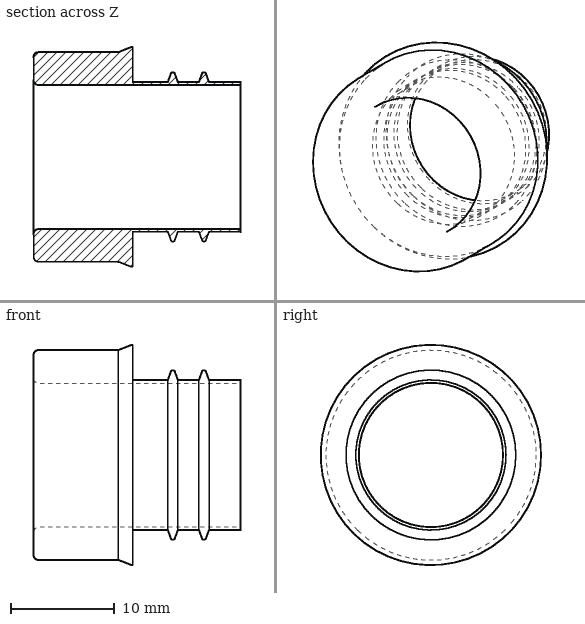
import cadquery as cq
import math

total_length = 20.0
bore_radius = 13.9 / 2
tube_radius = 14.5 / 2
collar_radius = 20.3 / 2
wall_middle_radius = (bore_radius + tube_radius) / 2
entry_round = 0.5

rim_radius = 21.3 / 2
collar_length = 9.6
rim_round = 0.1
flare_angle = math.radians(21.5)

barb_radius = 8.2
barb_round = 0.21
barb_flank_angle = math.radians(20)
first_barb_x = 13.46
barb_pitch = 3.0
barb_count = 2


def revolve_about_x(profile):
    """Turn a closed XY profile (X axial, Y radial) fully about the X axis."""
    return profile.close().revolve(360, (0, 0, 0), (1, 0, 0))


def arc_point(center, radius, angle):
    """Point on a circle, with the angle measured from the +X direction."""
    return (center[0] + radius * math.cos(angle), center[1] + radius * math.sin(angle))


def make_sleeve():
    """Collar with rounded front edges and a flared rim, continuing as a plain thin tube."""
    rim_center = (collar_length - rim_round, rim_radius - rim_round)
    flare_end = arc_point(rim_center, rim_round, math.pi / 2 + flare_angle)
    flare_start_x = flare_end[0] - (flare_end[1] - collar_radius) / math.tan(flare_angle)
    outer_center = (entry_round, collar_radius - entry_round)
    bore_center = (entry_round, bore_radius + entry_round)
    profile = (
        cq.Workplane("XY")
        .moveTo(entry_round, bore_radius)
        .threePointArc(arc_point(bore_center, entry_round, math.radians(225)), (0, bore_center[1]))
        .lineTo(0, outer_center[1])
        .threePointArc(
            arc_point(outer_center, entry_round, math.radians(135)),
            (entry_round, collar_radius),
        )
        .lineTo(flare_start_x, collar_radius)
        .lineTo(*flare_end)
        .threePointArc(
            arc_point(rim_center, rim_round, math.radians(45)),
            (collar_length, rim_center[1]),
        )
        .lineTo(collar_length, tube_radius)
        .lineTo(total_length, tube_radius)
        .lineTo(total_length, bore_radius)
    )
    return revolve_about_x(profile)


def make_barb(center_x):
    """Ring rooted in the tube wall, its flanks running tangentially into a rounded crest."""
    crest_center = (center_x, barb_radius - barb_round)
    front_top = arc_point(crest_center, barb_round, math.pi - barb_flank_angle)
    back_top = arc_point(crest_center, barb_round, barb_flank_angle)
    flank_run = (front_top[1] - tube_radius) * math.tan(barb_flank_angle)
    front_foot_x = front_top[0] - flank_run
    back_foot_x = back_top[0] + flank_run
    profile = (
        cq.Workplane("XY")
        .moveTo(front_foot_x, wall_middle_radius)
        .lineTo(front_foot_x, tube_radius)
        .lineTo(*front_top)
        .threePointArc((center_x, barb_radius), back_top)
        .lineTo(back_foot_x, tube_radius)
        .lineTo(back_foot_x, wall_middle_radius)
    )
    return revolve_about_x(profile)


result = make_sleeve()
for index in range(barb_count):
    result = result.union(make_barb(first_barb_x + index * barb_pitch))